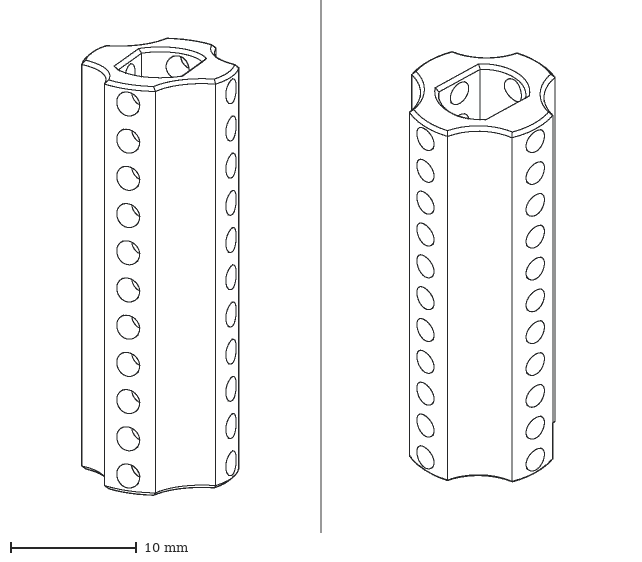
import cadquery as cq
import math

LENGTH = 34.38
OUTER_DIAMETER = 12.5
EDGE_CHAMFER = 0.3

LOBE_WIDTH = 4.47
FLUTE_DEPTH = 1.35
FLUTE_COUNT = 4
FIRST_FLUTE_ANGLE = 45

BORE_DIAMETER = 6.95
BORE_FLAT_WIDTH = 5.3

HOLE_DIAMETER = 2.0
HOLE_PITCH = 3.13
HOLE_COUNT = 11

outer_radius = OUTER_DIAMETER / 2


def make_fluted_body():
    """Round bar with a concave flute on each diagonal."""
    half_lobe = LOBE_WIDTH / 2
    lobe_corner = math.sqrt(outer_radius**2 - half_lobe**2)
    chord_distance = (lobe_corner + half_lobe) / math.sqrt(2)
    half_chord = (lobe_corner - half_lobe) / math.sqrt(2)
    sagitta = chord_distance - (outer_radius - FLUTE_DEPTH)
    flute_radius = (half_chord**2 + sagitta**2) / (2 * sagitta)
    flute_center_distance = outer_radius - FLUTE_DEPTH + flute_radius

    body = cq.Workplane("XY").circle(outer_radius).extrude(LENGTH)
    flutes = (
        cq.Workplane("XY")
        .polarArray(flute_center_distance, FIRST_FLUTE_ANGLE, 360, FLUTE_COUNT)
        .circle(flute_radius)
        .extrude(LENGTH)
    )
    return body.cut(flutes)


def make_bore():
    """Bore with two flats facing X, running the whole length."""
    bore_radius = BORE_DIAMETER / 2
    half_flat = BORE_FLAT_WIDTH / 2
    flat_end = math.sqrt(bore_radius**2 - half_flat**2)

    return (
        cq.Workplane("XY")
        .moveTo(half_flat, -flat_end)
        .lineTo(half_flat, flat_end)
        .threePointArc((0, bore_radius), (-half_flat, flat_end))
        .lineTo(-half_flat, -flat_end)
        .threePointArc((0, -bore_radius), (half_flat, -flat_end))
        .close()
        .extrude(LENGTH)
    )


def make_cross_holes(plane):
    """Evenly spaced holes right through the body, square to the given plane."""
    return (
        cq.Workplane(plane, origin=(0, 0, LENGTH / 2))
        .rarray(0.35, HOLE_PITCH, 1, HOLE_COUNT)
        .circle(HOLE_DIAMETER / 2)
        .extrude(outer_radius, both=True)
    )


result = make_fluted_body().cut(make_bore())
result = result.faces("<Z or >Z").chamfer(EDGE_CHAMFER)
for hole_plane in ("XZ", "YZ"):
    result = result.cut(make_cross_holes(hole_plane))